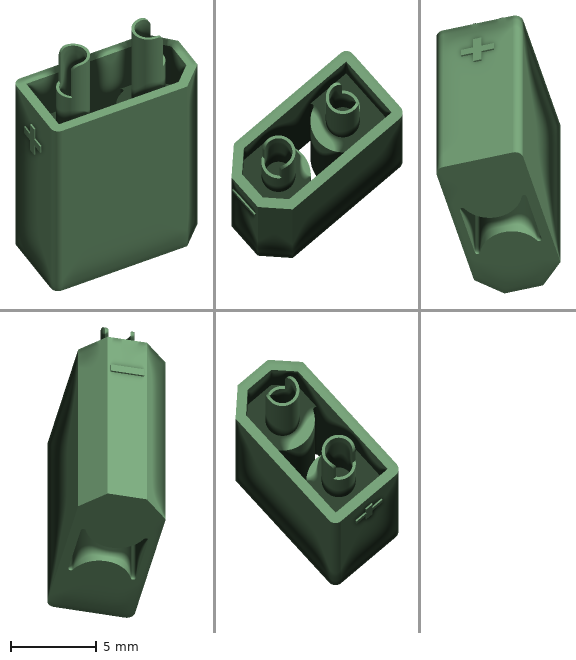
import cadquery as cq
import math

width = 5.25
length = 10.25
height = 12.5
wall = 0.6
polarity_chamfer = 1.45
front_corner_radius = 0.5

floor_height = 9.5
collar_radius = 1.9
window_corner_radius = 0.15

contact_spacing = 5.0
contact_radius = 1.0
cup_bore_radius = 0.82
contact_projection = 3.0
cup_rim_projection = 0.5
cup_opening_offset = 0.5
cup_corner_radius = 0.5

mark_length = 2.0
mark_bar_width = 0.5
mark_thickness = 0.1
mark_drop = 2.5

contact_y = contact_spacing / 2
contact_top = height + contact_projection
cup_rim = height + cup_rim_projection
inner_width = width - 2 * wall
inner_length = length - 2 * wall
inner_chamfer = polarity_chamfer - wall * (2 - math.sqrt(2))


def chamfered_block(block_width, block_length, chamfer, bottom, top):
    """Upright box with both vertical edges of its +Y end chamfered."""
    block = cq.Workplane("XY").workplane(offset=bottom).rect(block_width, block_length).extrude(top - bottom)
    return block.faces(">Y").edges("|Z").chamfer(chamfer)


def make_window():
    """Opening between the side walls and two round collars, with a rounded corner where they meet."""
    side = inner_width / 2
    arc_x = side - window_corner_radius
    arc_inset = math.sqrt((collar_radius + window_corner_radius) ** 2 - arc_x**2)
    arc_y = contact_y - arc_inset
    tangent_share = collar_radius / (collar_radius + window_corner_radius)
    tangent_x = arc_x * tangent_share
    tangent_y = contact_y - arc_inset * tangent_share
    collar_tip_y = contact_y - collar_radius
    return (
        cq.Workplane("XY")
        .moveTo(side, -arc_y)
        .lineTo(side, arc_y)
        .radiusArc((tangent_x, tangent_y), -window_corner_radius)
        .threePointArc((0, collar_tip_y), (-tangent_x, tangent_y))
        .radiusArc((-side, arc_y), -window_corner_radius)
        .lineTo(-side, -arc_y)
        .radiusArc((-tangent_x, -tangent_y), -window_corner_radius)
        .threePointArc((0, -collar_tip_y), (tangent_x, -tangent_y))
        .radiusArc((side, -arc_y), -window_corner_radius)
        .close()
        .extrude(floor_height)
    )


def make_housing():
    """Outer shell with its cavity and the windowed floor."""
    shell = chamfered_block(width, length, polarity_chamfer, 0, height)
    shell = shell.faces("<Y").edges("|Z").fillet(front_corner_radius)
    cavity = chamfered_block(inner_width, inner_length, inner_chamfer, floor_height, height)
    return shell.cut(cavity).cut(make_window())


def make_contact(side):
    """Contact on the +Y (side = 1) or -Y (side = -1) half, its cup open toward that end."""
    contact = cq.Workplane("XY").circle(contact_radius).extrude(contact_top)
    bore = (
        cq.Workplane("XY")
        .workplane(offset=floor_height)
        .circle(cup_bore_radius)
        .extrude(contact_top - floor_height)
    )
    opening = (
        cq.Workplane("YZ")
        .moveTo(side * cup_opening_offset, cup_rim)
        .lineTo(side * cup_opening_offset, contact_top - cup_corner_radius)
        .radiusArc((side * (cup_opening_offset - cup_corner_radius), contact_top), -side * cup_corner_radius)
        .lineTo(side * contact_radius, contact_top)
        .lineTo(side * contact_radius, cup_rim)
        .close()
        .extrude(contact_radius, both=True)
    )
    return contact.cut(bore).cut(opening).translate((0, side * contact_y, 0))


def make_bar(side, bar_width, bar_height):
    """Raised bar on the end face at side * Y, sunk into the wall by its own thickness."""
    return cq.Workplane("XY").box(bar_width, 2 * mark_thickness, bar_height).translate(
        (0, side * length / 2, height - mark_drop)
    )


result = make_housing()
for end in (1, -1):
    result = result.union(make_contact(end))
    result = result.union(make_bar(end, mark_length, mark_bar_width))
result = result.union(make_bar(-1, mark_bar_width, mark_length))